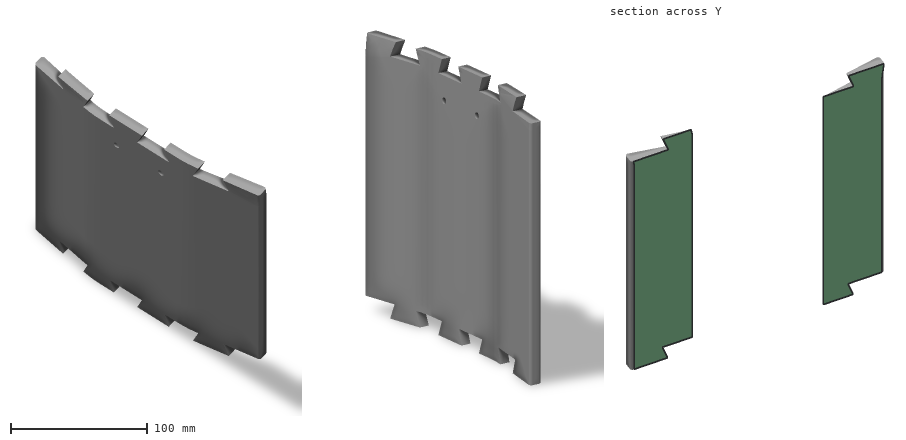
import cadquery as cq
import math

WIDTH = 209.55
PANEL_HEIGHT = 203.2
TOOTH_HEIGHT = 12.0
TOTAL_HEIGHT = PANEL_HEIGHT + TOOTH_HEIGHT
THICKNESS = 8.0
HALF_WIDTH = WIDTH / 2

BEND_START = 36.1
BEND_END = 52.6
BEND_WIDTH = BEND_END - BEND_START
FRONT_WING_ANGLE = math.radians(9.65)
BACK_WING_ANGLE = math.radians(11.4)
END_FILLET = 2.0

LEAN_DROP = 5.8
LEAN_Z = TOTAL_HEIGHT - LEAN_DROP
INNER_LEAN = math.radians(1.1)
INNER_LEAN_HALF_LENGTH = 1.1
FRONT_END_LEAN = math.radians(9.9)
FRONT_END_LEAN_HALF_LENGTH = 9.7
BACK_END_LEAN = math.radians(12.6)
BACK_END_LEAN_HALF_LENGTH = 12.1
MID_BEND_LEAN_SHARE = 0.25
TRIM_ALLOWANCE = 10.0
BLANK_HEIGHT = TOTAL_HEIGHT + TRIM_ALLOWANCE

TOOTH_PITCH = 51.1
TOOTH_TIP_WIDTH = 30.5
TOOTH_FLANK_ANGLE = math.radians(20)
FIRST_TOOTH_X = -63.3
FULL_TEETH = 3

HOLE_DIAMETER = 5.0
HOLE_SPACING = 41.2
HOLE_DROP = 31.5
HOLE_Z = TOTAL_HEIGHT - HOLE_DROP

CUT_DEPTH = 100.0


def bend_rise(angle):
    """Y gained across a circular bend of the given angle."""
    return BEND_WIDTH * math.tan(angle / 2)


def wing_y(base_y, angle, x):
    """Y of a wing face at distance x from the middle plane."""
    return base_y + bend_rise(angle) + (x - BEND_END) * math.tan(angle)


def lean_points(y, lean, half_length):
    """Middle and end of the rounded lean, then the top of the leaning face."""
    radius = half_length / math.tan(lean / 2)
    start_z = LEAN_Z - half_length
    middle = (y - radius * (1 - math.cos(lean / 2)), start_z + radius * math.sin(lean / 2))
    end = (y - radius * (1 - math.cos(lean)), start_z + radius * math.sin(lean))
    top = (end[0] - (BLANK_HEIGHT - end[1]) * math.tan(lean), BLANK_HEIGHT)
    return middle, end, top


def inner_wing_section():
    """Wing section where it joins the bend; its slight lean is a plain chord."""
    front_y = wing_y(0, FRONT_WING_ANGLE, BEND_END)
    back_y = wing_y(THICKNESS, BACK_WING_ANGLE, BEND_END)
    start_z = LEAN_Z - INNER_LEAN_HALF_LENGTH
    _, front_end, front_top = lean_points(front_y, INNER_LEAN, INNER_LEAN_HALF_LENGTH)
    _, back_end, back_top = lean_points(back_y, INNER_LEAN, INNER_LEAN_HALF_LENGTH)
    outline = [(front_y, 0), (front_y, start_z), front_end, front_top,
               back_top, back_end, (back_y, start_z), (back_y, 0)]
    return cq.Workplane("YZ", origin=(BEND_END, 0, 0)).polyline(outline).close().val()


def outer_wing_section():
    """Wing section at the outer end, with its lean rounded by arcs."""
    front_y = wing_y(0, FRONT_WING_ANGLE, HALF_WIDTH)
    back_y = wing_y(THICKNESS, BACK_WING_ANGLE, HALF_WIDTH)
    front_middle, front_end, front_top = lean_points(front_y, FRONT_END_LEAN, FRONT_END_LEAN_HALF_LENGTH)
    back_middle, back_end, back_top = lean_points(back_y, BACK_END_LEAN, BACK_END_LEAN_HALF_LENGTH)
    return (
        cq.Workplane("YZ", origin=(HALF_WIDTH, 0, 0))
        .moveTo(front_y, 0)
        .lineTo(front_y, LEAN_Z - FRONT_END_LEAN_HALF_LENGTH)
        .threePointArc(front_middle, front_end)
        .lineTo(*front_top)
        .lineTo(*back_top)
        .lineTo(*back_end)
        .threePointArc(back_middle, (back_y, LEAN_Z - BACK_END_LEAN_HALF_LENGTH))
        .lineTo(back_y, 0)
        .close()
        .val()
    )


def make_wing():
    """Tapered wing on the +X side, rounded along its outer end."""
    wing = cq.Workplane(cq.Solid.makeLoft([inner_wing_section(), outer_wing_section()], True))
    long_edges = wing.faces(">X").edges("not(<Z or >Z)")
    return long_edges.fillet(END_FILLET)


def bend_arc_points(base_y, angle, shift):
    """Middle and wing-side end of a bend arc, the end moved forward by shift."""
    radius = BEND_WIDTH / math.sin(angle)
    middle_x = BEND_START + radius * math.sin(angle / 2)
    middle_y = base_y + radius * (1 - math.cos(angle / 2)) - MID_BEND_LEAN_SHARE * shift
    end_y = base_y + bend_rise(angle) - shift
    return (middle_x, middle_y), (BEND_END, end_y)


def bend_section(z, shift):
    """Bend profile at height z, its wing side moved forward by shift."""
    front_middle, front_end = bend_arc_points(0, FRONT_WING_ANGLE, shift)
    back_middle, back_end = bend_arc_points(THICKNESS, BACK_WING_ANGLE, shift)
    return (
        cq.Workplane("XY", origin=(0, 0, z))
        .moveTo(BEND_START, 0)
        .threePointArc(front_middle, front_end)
        .lineTo(*back_end)
        .threePointArc(back_middle, (BEND_START, THICKNESS))
        .close()
        .val()
    )


def make_bend():
    """Bend on the +X side, leaning slightly forward with the wing at its top."""
    start_z = LEAN_Z - INNER_LEAN_HALF_LENGTH
    _, lean_end, lean_top = lean_points(0, INNER_LEAN, INNER_LEAN_HALF_LENGTH)
    levels = [(0, 0), (start_z, 0), (lean_end[1], -lean_end[0]), (lean_top[1], -lean_top[0])]
    sections = [bend_section(z, shift) for z, shift in levels]
    return cq.Workplane(cq.Solid.makeLoft(sections, True))


def make_blank():
    """Bent plate, taller than the part, before its ends are shaped."""
    middle = cq.Workplane("XY").box(
        2 * BEND_START, THICKNESS, BLANK_HEIGHT, centered=(True, False, False)
    )
    side = make_bend().union(make_wing())
    return middle.union(side).union(side.mirror("YZ"))


def dovetail_row(base_z):
    """Row of dovetails widening upward; the last one runs out past the +X end."""
    tip_half = TOOTH_TIP_WIDTH / 2
    root_half = tip_half - TOOTH_HEIGHT * math.tan(TOOTH_FLANK_ANGLE)
    tip_z = base_z + TOOTH_HEIGHT
    row = cq.Workplane("XZ")
    for index in range(FULL_TEETH + 1):
        x = FIRST_TOOTH_X + index * TOOTH_PITCH
        is_last = index == FULL_TEETH
        right_tip = HALF_WIDTH if is_last else x + tip_half
        right_root = HALF_WIDTH if is_last else x + root_half
        row = row.polyline(
            [(x - root_half, base_z), (x - tip_half, tip_z), (right_tip, tip_z), (right_root, base_z)]
        ).close()
    return row.extrude(CUT_DEPTH, both=True)


def make_outline():
    """Front outline of the plate as a deep prism."""
    panel = cq.Workplane("XY").box(WIDTH, 2 * CUT_DEPTH, PANEL_HEIGHT, centered=(True, True, False))
    return panel.cut(dovetail_row(0)).union(dovetail_row(PANEL_HEIGHT))


def make_holes():
    """Pair of holes through the flat middle."""
    return (
        cq.Workplane("XZ", origin=(0, 0, HOLE_Z))
        .pushPoints([(-HOLE_SPACING / 2, 0), (HOLE_SPACING / 2, 0)])
        .circle(HOLE_DIAMETER / 2)
        .extrude(CUT_DEPTH, both=True)
    )


result = make_blank().intersect(make_outline()).cut(make_holes())